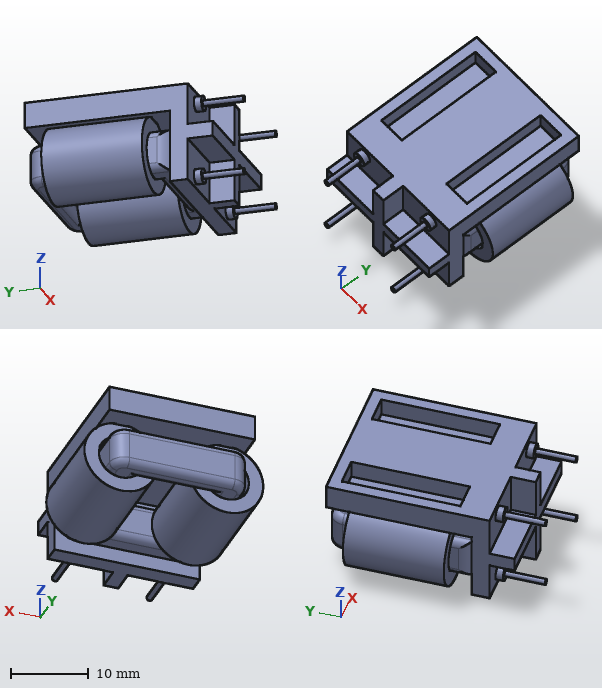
import cadquery as cq


HOUSING_WIDTH = 20.0
HOUSING_HEIGHT = 13.2
SLAB_THICKNESS = 3.48
PLATE_THICKNESS = 2.42
RIB_DEPTH = 3.35
RIB_THICKNESS = 2.02
PIN_REACH = 6.47
OVERALL_LENGTH = 28.5
PLATE_FRONT = PIN_REACH - OVERALL_LENGTH
PLATE_REAR = PLATE_FRONT + PLATE_THICKNESS

POCKET_WIDTH = 4
POCKET_LENGTH = 15.95
POCKET_DEPTH = 2.5
POCKET_MARGIN = 1.62

PIN_DIAMETER = 0.8
COLLAR_DIAMETER = 2
COLLAR_LENGTH = 1.0
PIN_SPACING_X = 13.02
PIN_SPACING_Z = 10.0

COIL_RADIUS = 5.05
COIL_WALL = 2
COIL_LENGTH = 13.6
COIL_REAR_GAP = 3.0
COIL_SPAN = 24.62
COIL_X = COIL_SPAN / 2 - COIL_RADIUS
COIL_Z = -8.32

CORE_HEIGHT = 5.61
LIMB_WIDTH = 3.93
END_BAR_WIDTH = 2.85
CORE_CORNER_RADIUS = 2
CORE_EDGE_FILLET = 1.03
CORE_TOP = COIL_Z + CORE_HEIGHT / 2
CORE_LENGTH = -PLATE_REAR
CORE_WIDTH = 2 * COIL_X + LIMB_WIDTH


def box(x_size, y_front, y_rear, z_low, z_high, x_centre=0):
    """Block centred on x_centre in X, between the given Y and Z limits."""
    block = cq.Workplane("XY").box(x_size, y_rear - y_front, z_high - z_low, centered=(True, False, False))
    return block.translate((x_centre, y_front, z_low))


def make_cylinder(side, radius):
    """Cylinder on a coil axis, as long as a coil."""
    plane = cq.Workplane("XZ", origin=(side * COIL_X, -COIL_REAR_GAP, COIL_Z))
    return plane.circle(radius).extrude(COIL_LENGTH)


def make_core():
    core_low = CORE_TOP - CORE_HEIGHT

    ring = box(CORE_WIDTH, -CORE_LENGTH - CORE_CORNER_RADIUS, 0, core_low, CORE_TOP)
    ring = ring.edges("|Z and >Y").fillet(CORE_CORNER_RADIUS)
    window_width = CORE_WIDTH - 2 * LIMB_WIDTH
    ring = ring.cut(box(window_width, END_BAR_WIDTH - CORE_LENGTH, -END_BAR_WIDTH, core_low, CORE_TOP))
    ring = ring.faces(">Z or <Z").edges("not(<Y)").fillet(CORE_EDGE_FILLET)

    trim = box(CORE_WIDTH, -CORE_LENGTH, 0, core_low, CORE_TOP)
    trim = trim.edges("|Z and <Y").fillet(CORE_CORNER_RADIUS)
    return ring.intersect(trim)


def make_pins():
    plane = cq.Workplane("XZ", origin=(0, PLATE_FRONT, -HOUSING_HEIGHT / 2))
    grid = plane.rarray(PIN_SPACING_X, PIN_SPACING_Z, 2, 2)
    collars = grid.circle(COLLAR_DIAMETER / 2).extrude(COLLAR_LENGTH)
    pins = grid.circle(PIN_DIAMETER / 2).extrude(PIN_REACH)
    return collars.union(pins)


def make_housing():
    housing = box(HOUSING_WIDTH, PLATE_FRONT, 0, -SLAB_THICKNESS, 0)
    housing = housing.union(box(HOUSING_WIDTH, PLATE_FRONT, PLATE_REAR, -HOUSING_HEIGHT, 0))

    rib_front = PLATE_FRONT - RIB_DEPTH
    rib_low = -HOUSING_HEIGHT / 2 - RIB_THICKNESS / 2
    housing = housing.union(box(RIB_THICKNESS, rib_front, PLATE_FRONT, -HOUSING_HEIGHT, 0))
    housing = housing.union(box(HOUSING_WIDTH, rib_front, PLATE_FRONT, rib_low, rib_low + RIB_THICKNESS))

    pocket_x = HOUSING_WIDTH / 2 - POCKET_MARGIN - POCKET_WIDTH / 2
    for side in (-1, 1):
        pocket = box(POCKET_WIDTH, -POCKET_MARGIN - POCKET_LENGTH, -POCKET_MARGIN,
                     -POCKET_DEPTH, 0, side * pocket_x)
        housing = housing.cut(pocket)

    for side in (-1, 1):
        housing = housing.cut(make_cylinder(side, COIL_RADIUS))

    return housing.union(make_core()).union(make_pins())


def make_coil(side):
    return make_cylinder(side, COIL_RADIUS).cut(make_cylinder(side, COIL_RADIUS - COIL_WALL))


housing = make_housing()
coils = [make_coil(side) for side in (-1, 1)]

result = cq.Compound.makeCompound([housing.solids().val(), *[coil.val() for coil in coils]])